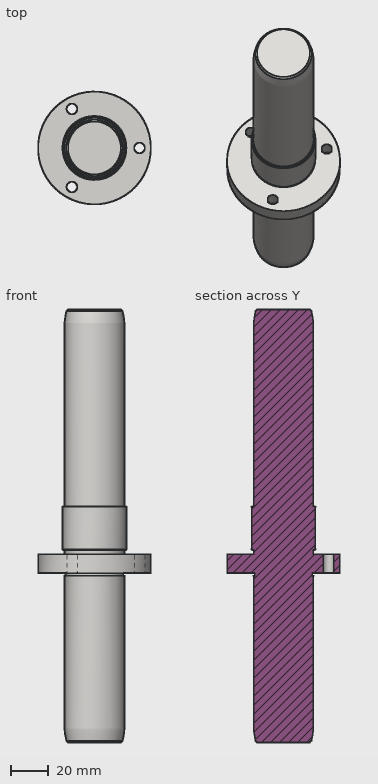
import cadquery as cq

length = 230.0
shaft_radius = 32.0 / 2
collar_radius = 34.0 / 2
flange_radius = 60.0 / 2

flange_bottom = 90.0
flange_thickness = 10.1
flange_top = flange_bottom + flange_thickness
collar_bottom = 102.1
collar_top = 125.5
collar_chamfer = 0.5

groove_width = 1.4
groove_radius = 15.5
neck_radius = shaft_radius

lead_length = 7.4
lead_mid_radius = 15.6
lead_end_radius = 15.0
end_chamfer = 1.0

hole_count = 3
hole_diameter = 5.5
hole_circle_radius = 24.0


def make_body():
    """Revolve the half outline (radius, height) about the Z axis."""
    end_face_radius = lead_end_radius - end_chamfer
    lead_mid_offset = (lead_length + end_chamfer) / 2
    outline = (
        cq.Workplane("XZ")
        .moveTo(0, 0)
        .lineTo(end_face_radius, 0)
        .lineTo(lead_end_radius, end_chamfer)
        .threePointArc((lead_mid_radius, lead_mid_offset), (shaft_radius, lead_length))
        .lineTo(shaft_radius, flange_bottom - groove_width)
        .lineTo(groove_radius, flange_bottom - groove_width)
        .lineTo(groove_radius, flange_bottom)
        .lineTo(flange_radius, flange_bottom)
        .lineTo(flange_radius, flange_top)
        .lineTo(neck_radius, flange_top)
        .lineTo(neck_radius, collar_bottom)
        .lineTo(collar_radius - collar_chamfer, collar_bottom)
        .lineTo(collar_radius, collar_bottom + collar_chamfer)
        .lineTo(collar_radius, collar_top - collar_chamfer)
        .lineTo(collar_radius - collar_chamfer, collar_top)
        .lineTo(shaft_radius, collar_top)
        .lineTo(shaft_radius, length - lead_length)
        .threePointArc((lead_mid_radius, length - lead_mid_offset), (lead_end_radius, length - end_chamfer))
        .lineTo(end_face_radius, length)
        .lineTo(0, length)
        .close()
    )
    return outline.revolve(360, (0, 0, 0), (0, 1, 0))


def make_flange_holes():
    """Cylinders through the flange, the first one on the +X axis."""
    return (
        cq.Workplane("XY", origin=(0, 0, flange_bottom))
        .polarArray(hole_circle_radius, 0, 360, hole_count)
        .circle(hole_diameter / 2)
        .extrude(flange_thickness)
    )


result = make_body().cut(make_flange_holes())